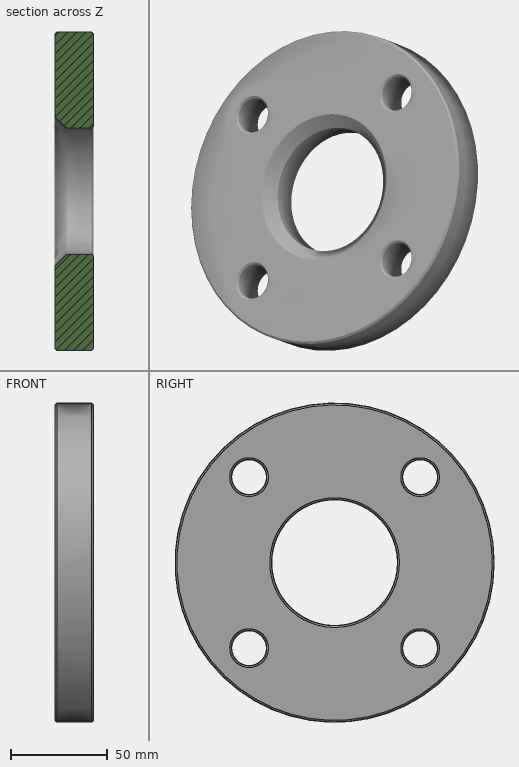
import cadquery as cq
import math

outer_diameter = 165.0
thickness = 20.0
rim_chamfer = 1.0

bore_diameter = 65.0
bore_cone_size = 6.0
bore_back_chamfer = 1.0

bolt_circle_diameter = 125.0
bolt_hole_diameter = 18.0
bolt_hole_count = 4
bolt_hole_chamfer = 1.0

x_min = -thickness / 2
x_max = thickness / 2


def cylinder(diameter, y=0.0, z=0.0):
    """Cylinder along X through the full thickness, centred on (y, z)."""
    profile = cq.Workplane("YZ", origin=(x_min, y, z))
    return profile.circle(diameter / 2).extrude(thickness)


def flare(diameter, size, face_x, inward, y, z):
    """45 degree cone that starts at a face and narrows inward (+1 or -1 along X) to the diameter."""
    cone = cq.Solid.makeCone(
        diameter / 2 + size,
        diameter / 2,
        size,
        pnt=cq.Vector(face_x, y, z),
        dir=cq.Vector(inward, 0, 0),
    )
    return cq.Workplane(cone)


def chamfered_hole(diameter, front_size, back_size, y=0.0, z=0.0):
    """Cutter for a through hole with a flare at the -X face and another at the +X face."""
    hole = cylinder(diameter, y, z)
    hole = hole.union(flare(diameter, front_size, x_min, 1, y, z))
    return hole.union(flare(diameter, back_size, x_max, -1, y, z))


flange = cylinder(outer_diameter).edges().chamfer(rim_chamfer)
flange = flange.cut(chamfered_hole(bore_diameter, bore_cone_size, bore_back_chamfer))

bolt_circle_radius = bolt_circle_diameter / 2
hole_spacing = 2 * math.pi / bolt_hole_count
for index in range(bolt_hole_count):
    angle = (index + 0.5) * hole_spacing
    bolt_hole = chamfered_hole(
        bolt_hole_diameter,
        bolt_hole_chamfer,
        bolt_hole_chamfer,
        bolt_circle_radius * math.cos(angle),
        bolt_circle_radius * math.sin(angle),
    )
    flange = flange.cut(bolt_hole)

result = flange